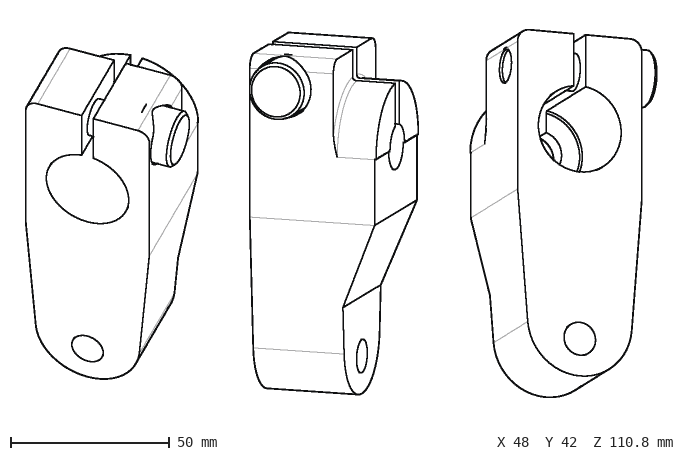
import cadquery as cq
import math


height = 110.8
width = 41.9
half_width = width / 2
top_corner_radius = 4.0
body_depth = 41.5
upper_depth = 27.8
lower_depth = 30.2
slope_top_z = 59.0
slope_bottom_z = 31.4
end_radius = 17.6

bore_z = 80.1
bore_radius = 14.0
bore_depth = 34.9
bore_bottom_chamfer = 0.7
through_radius = 7.2
slot_width = 4.0
boss_end_y = 42.0
boss_fillet = 1.2

pivot_z = 12.1
pivot_radius = 5.3

screw_y = 10.7
screw_z = 101.0
screw_radius = 6.0
tip_recess_radius = 5.3
tip_recess_depth = 1.0
head_radius = 9.1
head_end_x = 27.0
counterbore_radius = 9.6
head_seat_x = 15.0
head_chamfer = 1.0


def cylinder_y(radius, z, start_y, end_y):
    """Cylinder along +Y, centred on X = 0."""
    direction = cq.Vector(0, 1, 0)
    return cq.Workplane(cq.Solid.makeCylinder(radius, end_y - start_y, cq.Vector(0, start_y, z), direction))


def cylinder_x(radius, start_x, end_x):
    """Cylinder along +X on the clamp screw axis."""
    start = cq.Vector(start_x, screw_y, screw_z)
    return cq.Workplane(cq.Solid.makeCylinder(radius, end_x - start_x, start, cq.Vector(1, 0, 0)))


def make_front_outline():
    """Lever outline, its tapered sides tangent to the rounded lower end, extruded to full depth."""
    shoulder_distance = math.hypot(half_width, slope_top_z - end_radius)
    shoulder_angle = math.atan2(slope_top_z - end_radius, half_width)
    tangent_angle = shoulder_angle - math.acos(end_radius / shoulder_distance)
    tangent_x = end_radius * math.cos(tangent_angle)
    tangent_z = end_radius + end_radius * math.sin(tangent_angle)
    return (
        cq.Workplane("XZ")
        .moveTo(-half_width, height)
        .lineTo(half_width, height)
        .lineTo(half_width, slope_top_z)
        .lineTo(tangent_x, tangent_z)
        .threePointArc((0, 0), (-tangent_x, tangent_z))
        .lineTo(-half_width, slope_top_z)
        .close()
        .extrude(-boss_end_y)
        .edges("|Y and >Z")
        .fillet(top_corner_radius)
    )


def make_side_profile():
    """Stepped and sloped depth of the lever, extruded across its width."""
    return (
        cq.Workplane("YZ")
        .polyline([
            (0, 0),
            (lower_depth, 0),
            (lower_depth, slope_bottom_z),
            (body_depth, slope_top_z),
            (body_depth, bore_z),
            (upper_depth, bore_z),
            (upper_depth, height),
            (0, height),
        ])
        .close()
        .extrude(half_width, both=True)
    )


def make_boss():
    """Upper half of a round boss with a filleted root, trimmed to the lever width."""
    root_radius = half_width + boss_fillet
    root_end_y = upper_depth + boss_fillet
    fillet_offset = boss_fillet * (1 - math.sqrt(0.5))
    boss = (
        cq.Workplane("XY")
        .moveTo(0, upper_depth)
        .lineTo(root_radius, upper_depth)
        .threePointArc(
            (half_width + fillet_offset, upper_depth + fillet_offset),
            (half_width, root_end_y),
        )
        .lineTo(half_width, boss_end_y)
        .lineTo(0, boss_end_y)
        .close()
        .revolve(360, (0, 0), (0, 1))
        .translate((0, 0, bore_z))
    )
    upper_half = (
        cq.Workplane("XY", origin=(0, 0, bore_z))
        .rect(width, 2 * boss_end_y)
        .extrude(root_radius)
    )
    return boss.intersect(upper_half)


def make_bore():
    """Front bore with a chamfered bottom, continued by a smaller through hole."""
    bore = cylinder_y(bore_radius, bore_z, 0, bore_depth).faces(">Y").chamfer(bore_bottom_chamfer)
    return bore.union(cylinder_y(through_radius, bore_z, 0, boss_end_y))


def make_slot():
    """Clamping slot from the bore axis up through the top."""
    slot_height = height - bore_z
    return (
        cq.Workplane("XY")
        .box(slot_width, boss_end_y, slot_height, centered=(True, False, False))
        .translate((0, 0, bore_z))
    )


def make_screw():
    """Cap screw whose shank fills its hole up to a shallow recess in the -X side."""
    shank = cylinder_x(screw_radius, -half_width, head_seat_x)
    recess = cylinder_x(tip_recess_radius, -half_width, -half_width + tip_recess_depth)
    head = cylinder_x(head_radius, head_seat_x, head_end_x).faces(">X").chamfer(head_chamfer)
    return shank.cut(recess).union(head)


lever = make_front_outline().intersect(make_side_profile()).union(make_boss())
pivot_hole = cylinder_y(pivot_radius, pivot_z, 0, lower_depth)
lever = lever.cut(make_bore()).cut(make_slot()).cut(pivot_hole)

screw_hole = cylinder_x(screw_radius, -half_width, head_seat_x)
head_counterbore = cylinder_x(counterbore_radius, head_seat_x, half_width)
lever = lever.cut(screw_hole).cut(head_counterbore)

result = lever.union(make_screw())